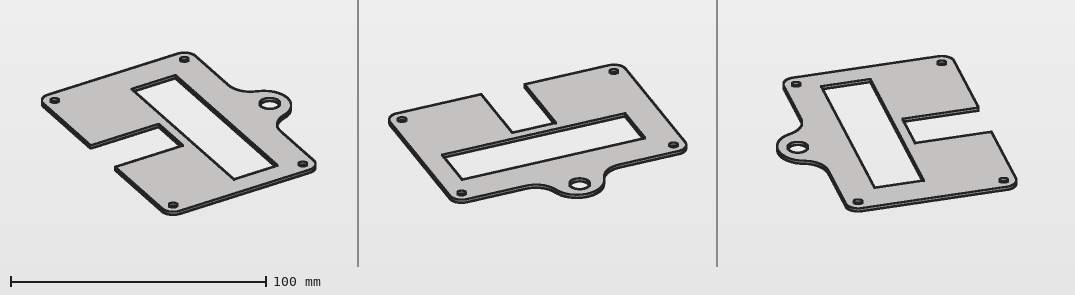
import cadquery as cq
import math

plate_width = 100.4
plate_height = 69.3
thickness = 1.5
corner_radius = 5.0

total_height = 84.2
tab_radius = 10.7
tab_blend_radius = 10.0
tab_hole_diameter = 8.0
tab_hole_from_top = 8.0

screw_hole_diameter = 3.4
screw_hole_inset = 5.0

window_width = 78.0
window_height = 20.0
window_left = 13.3
window_bottom = 35.2

slot_width = 18.6
slot_depth = 31.0

left_edge = -plate_width / 2
bottom_edge = -plate_height / 2
top_edge = plate_height / 2
tab_top = bottom_edge + total_height


def make_plate():
    plate = cq.Workplane("XY").rect(plate_width, plate_height).extrude(thickness)
    return plate.edges("|Z").fillet(corner_radius)


def make_tab():
    """Round tab whose sides blend into the plate edge through concave arcs."""
    tab_center_y = tab_top - tab_radius
    blend_center_y = top_edge + tab_blend_radius
    rise = blend_center_y - tab_center_y
    blend_center_x = math.sqrt((tab_radius + tab_blend_radius) ** 2 - rise**2)

    joint_share = tab_radius / (tab_radius + tab_blend_radius)
    joint_x = blend_center_x * joint_share
    joint_y = tab_center_y + rise * joint_share

    joint_angle = math.atan2(-rise, blend_center_x)
    middle_angle = (joint_angle - math.pi / 2) / 2
    middle_x = blend_center_x - tab_blend_radius * math.cos(middle_angle)
    middle_y = blend_center_y + tab_blend_radius * math.sin(middle_angle)

    foot_y = top_edge - tab_radius
    return (
        cq.Workplane("XY")
        .moveTo(-blend_center_x, foot_y)
        .lineTo(-blend_center_x, top_edge)
        .threePointArc((-middle_x, middle_y), (-joint_x, joint_y))
        .threePointArc((0, tab_top), (joint_x, joint_y))
        .threePointArc((middle_x, middle_y), (blend_center_x, top_edge))
        .lineTo(blend_center_x, foot_y)
        .close()
        .extrude(thickness)
    )


def make_round_holes():
    spacing_x = plate_width - 2 * screw_hole_inset
    spacing_y = plate_height - 2 * screw_hole_inset
    screw_holes = (
        cq.Workplane("XY")
        .rect(spacing_x, spacing_y, forConstruction=True)
        .vertices()
        .circle(screw_hole_diameter / 2)
        .extrude(thickness)
    )
    tab_hole = (
        cq.Workplane("XY")
        .center(0, tab_top - tab_hole_from_top)
        .circle(tab_hole_diameter / 2)
        .extrude(thickness)
    )
    return screw_holes.union(tab_hole)


def make_window():
    return (
        cq.Workplane("XY")
        .center(left_edge + window_left, bottom_edge + window_bottom)
        .rect(window_width, window_height, centered=False)
        .extrude(thickness)
    )


def make_slot():
    return (
        cq.Workplane("XY")
        .center(-slot_width / 2, bottom_edge)
        .rect(slot_width, slot_depth, centered=False)
        .extrude(thickness)
    )


result = make_plate().union(make_tab())
result = result.cut(make_round_holes()).cut(make_window()).cut(make_slot())